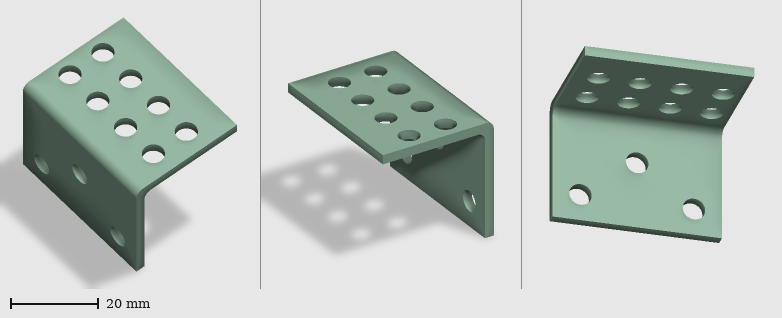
import cadquery as cq

width = 40.0
depth = 29.95
height = 29.9
thickness = 2.4
bend_radius = 2.0

hole_diameter = 5.3

grid_columns = 4
grid_rows = 2
grid_pitch = 9.8
first_column_from_left = 4.55
first_row_from_front = 10.15

lower_hole_spacing = 26.8
upper_hole_below_top = 13.3
lower_holes_below_top = 23.3

left = -width / 2


def bent_plate():
    """L-shaped plate with a rounded bend along X."""
    block = cq.Workplane("XY").box(width, depth, height, centered=(True, False, False))
    block = block.translate((0, 0, -height))
    inner_space = (
        cq.Workplane("XY")
        .box(width, depth - thickness, height - thickness, centered=(True, False, False))
        .translate((0, thickness, -height))
    )
    plate = block.cut(inner_space)
    outer_corner = cq.selectors.NearestToPointSelector((0, 0, 0))
    inner_corner = cq.selectors.NearestToPointSelector((0, thickness, -thickness))
    plate = plate.edges(outer_corner).fillet(bend_radius)
    return plate.edges(inner_corner).fillet(bend_radius)


def horizontal_flange_holes():
    """Cylinders running down through the horizontal flange."""
    centres = [
        (left + first_column_from_left + column * grid_pitch, first_row_from_front + row * grid_pitch)
        for column in range(grid_columns)
        for row in range(grid_rows)
    ]
    return cq.Workplane("XY").pushPoints(centres).circle(hole_diameter / 2).extrude(-thickness)


def vertical_flange_holes():
    """Cylinders running back through the vertical flange."""
    centres = [
        (0, -upper_hole_below_top),
        (-lower_hole_spacing / 2, -lower_holes_below_top),
        (lower_hole_spacing / 2, -lower_holes_below_top),
    ]
    return cq.Workplane("XZ").pushPoints(centres).circle(hole_diameter / 2).extrude(-thickness)


result = bent_plate().cut(horizontal_flange_holes()).cut(vertical_flange_holes())